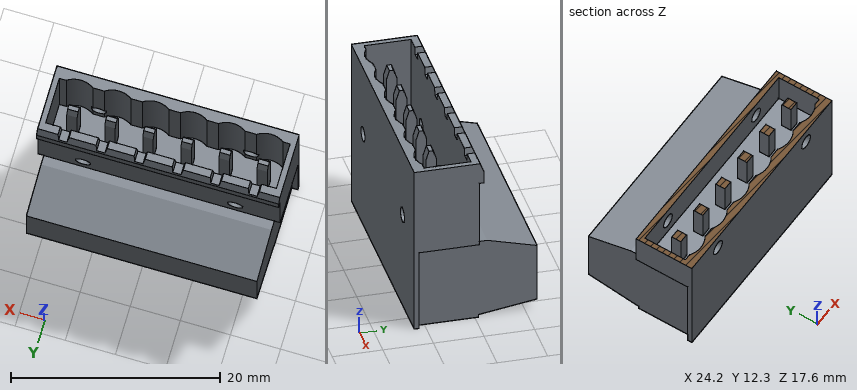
import cadquery as cq

LENGTH = 24.18
DEPTH = 12.3
HEIGHT = 17.6

PIN_COUNT = 6
PITCH = 3.8
PIN_X = [(i - (PIN_COUNT - 1) / 2) * PITCH for i in range(PIN_COUNT)]

SIDE_WALL = 0.58
INNER_LENGTH = LENGTH - 2 * SIDE_WALL
HOUSING_BACK = 6.43
SHOULDER_Z = 8.5
LIP_BACK = 6.92
LIP_BOTTOM = 15.4
LIP_BEVEL_Z = 16.6
TOP_BACK = 6.53

PLATE_THICKNESS = 0.48
BEVEL_START = 7.37
REAR_TOP = 7.18
REAR_BOTTOM = 1.15
FOOT_BACK = 6.5
FOOT_HEIGHT = 0.3

CAVITY_FRONT = 1.14
CAVITY_BACK = 5.75
CAVITY_DEPTH = HEIGHT - SHOULDER_Z
SCALLOP_WIDTH = 2.65
SCALLOP_SAG = 0.4

NOTCH_TOP_WIDTH = 1.11
NOTCH_FLOOR_WIDTH = 0.82
NOTCH_DEPTH = 0.75

PIN_WIDTH = 1.05
PIN_FRONT = 2.65
PIN_BACK = 3.72
PIN_TOP = 16.03
PIN_BEVEL_RUN = 0.31
PIN_BEVEL_DROP = 1.0

HOLE_DIAMETER = 1.5
HOLE_SPACING = 4 * PITCH
HOLE_Z = 10.18


def extrude_along_x(points, width, x_center=0.0):
    """Closed (Y, Z) outline extruded along X about x_center."""
    outline = cq.Workplane("YZ", origin=(x_center, 0, 0)).polyline(points).close()
    return outline.extrude(width / 2, both=True)


def make_housing():
    return extrude_along_x(
        [
            (0, SHOULDER_Z),
            (HOUSING_BACK, SHOULDER_Z),
            (HOUSING_BACK, LIP_BOTTOM),
            (LIP_BACK, LIP_BOTTOM),
            (LIP_BACK, LIP_BEVEL_Z),
            (TOP_BACK, HEIGHT),
            (0, HEIGHT),
        ],
        LENGTH,
    )


def make_front_plate():
    return cq.Workplane("XY").box(LENGTH, PLATE_THICKNESS, HEIGHT, centered=(True, False, False))


def make_lower_block():
    return extrude_along_x(
        [
            (0, 0),
            (FOOT_BACK, 0),
            (FOOT_BACK, FOOT_HEIGHT),
            (DEPTH, REAR_BOTTOM),
            (DEPTH, REAR_TOP),
            (BEVEL_START, SHOULDER_Z),
            (0, SHOULDER_Z),
        ],
        INNER_LENGTH,
    )


def make_cavity():
    """Cavity outline with one shallow arc in the front wall opposite each pin."""
    outline = cq.Workplane("XY", origin=(0, 0, SHOULDER_Z)).moveTo(-INNER_LENGTH / 2, CAVITY_FRONT)
    for x in PIN_X:
        outline = outline.lineTo(x - SCALLOP_WIDTH / 2, CAVITY_FRONT)
        outline = outline.threePointArc(
            (x, CAVITY_FRONT - SCALLOP_SAG),
            (x + SCALLOP_WIDTH / 2, CAVITY_FRONT),
        )
    outline = outline.lineTo(INNER_LENGTH / 2, CAVITY_FRONT)
    outline = outline.lineTo(INNER_LENGTH / 2, CAVITY_BACK)
    outline = outline.lineTo(-INNER_LENGTH / 2, CAVITY_BACK)
    return outline.close().extrude(CAVITY_DEPTH)


def make_notch(x):
    """Notch cutter reaching from inside the cavity to the back of the lip."""
    profile = [
        (x - NOTCH_TOP_WIDTH / 2, HEIGHT),
        (x - NOTCH_FLOOR_WIDTH / 2, HEIGHT - NOTCH_DEPTH),
        (x + NOTCH_FLOOR_WIDTH / 2, HEIGHT - NOTCH_DEPTH),
        (x + NOTCH_TOP_WIDTH / 2, HEIGHT),
    ]
    plane = cq.Workplane("XZ", origin=(0, CAVITY_BACK, 0))
    return plane.polyline(profile).close().extrude(CAVITY_BACK - LIP_BACK)


def make_pin(x):
    """Rectangular contact with its tip bevelled at front and back, rooted at the cavity floor."""
    return extrude_along_x(
        [
            (PIN_FRONT, SHOULDER_Z),
            (PIN_BACK, SHOULDER_Z),
            (PIN_BACK, PIN_TOP - PIN_BEVEL_DROP),
            (PIN_BACK - PIN_BEVEL_RUN, PIN_TOP),
            (PIN_FRONT + PIN_BEVEL_RUN, PIN_TOP),
            (PIN_FRONT, PIN_TOP - PIN_BEVEL_DROP),
        ],
        PIN_WIDTH,
        x,
    )


def make_hole(x):
    return cq.Workplane("XZ", origin=(x, 0, HOLE_Z)).circle(HOLE_DIAMETER / 2).extrude(-DEPTH)


result = make_housing().union(make_front_plate()).union(make_lower_block())
result = result.cut(make_cavity())
for pin_x in PIN_X:
    result = result.cut(make_notch(pin_x))
    result = result.union(make_pin(pin_x))
for hole_x in (-HOLE_SPACING / 2, HOLE_SPACING / 2):
    result = result.cut(make_hole(hole_x))